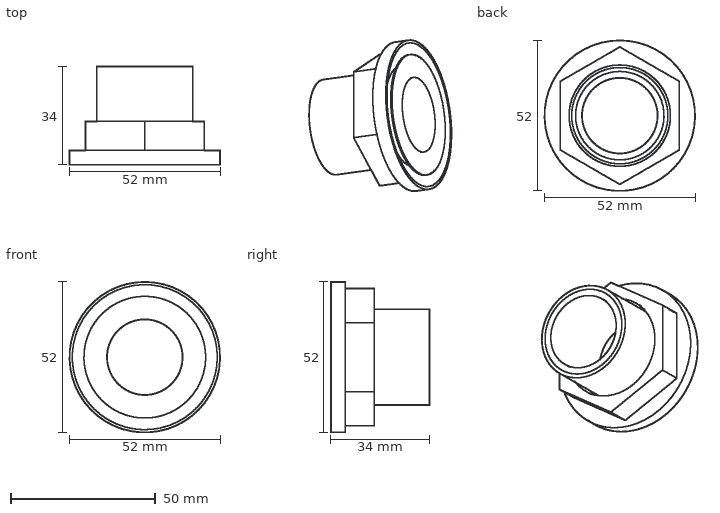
import cadquery as cq
import math

TOTAL_LENGTH = 34.0

BORE_DIAMETER = 26.0
LINER_DIAMETER = 30.5
HEAD_DIAMETER = 42.0
HEAD_THICKNESS = 0.5

PIPE_DIAMETER = 33.25

FLANGE_DIAMETER = 52.0
FLANGE_THICKNESS = 5.0
HEX_ACROSS_FLATS = 41.05
HEX_LENGTH = 10.0
NUT_BORE_DIAMETER = 35.0

RECESS_MOUTH_DIAMETER = 50.0
RECESS_DEPTH = 4.3


def plane_at(y):
    """Work plane square to the common axis, with its normal along +Y."""
    return cq.Workplane("ZX", origin=(0, y, 0))


def make_cylinder(start, end, diameter):
    return plane_at(start).circle(diameter / 2).extrude(end - start)


def make_liner():
    head = make_cylinder(0, HEAD_THICKNESS, HEAD_DIAMETER)
    tube = make_cylinder(0, TOTAL_LENGTH, LINER_DIAMETER)
    bore = make_cylinder(0, TOTAL_LENGTH, BORE_DIAMETER)
    return head.union(tube).cut(bore)


def make_pipe():
    outside = make_cylinder(HEAD_THICKNESS, TOTAL_LENGTH, PIPE_DIAMETER)
    return outside.cut(make_cylinder(HEAD_THICKNESS, TOTAL_LENGTH, LINER_DIAMETER))


def make_recess():
    """Cone frustum that opens at the flange face."""
    profile = [
        (0, 0),
        (RECESS_MOUTH_DIAMETER / 2, 0),
        (NUT_BORE_DIAMETER / 2, RECESS_DEPTH),
        (0, RECESS_DEPTH),
    ]
    return cq.Workplane("XY").polyline(profile).close().revolve(360, (0, 0), (0, 1))


def make_nut():
    nut_length = FLANGE_THICKNESS + HEX_LENGTH
    flange = make_cylinder(0, FLANGE_THICKNESS, FLANGE_DIAMETER)
    across_corners = HEX_ACROSS_FLATS / math.cos(math.pi / 6)
    hexagon = plane_at(FLANGE_THICKNESS).polygon(6, across_corners).extrude(HEX_LENGTH)
    bore = make_cylinder(0, nut_length, NUT_BORE_DIAMETER)
    return flange.union(hexagon).cut(make_recess()).cut(bore)


liner = make_liner()
pipe = make_pipe()
nut = make_nut()

result = cq.Compound.makeCompound([liner.val(), pipe.val(), nut.val()])